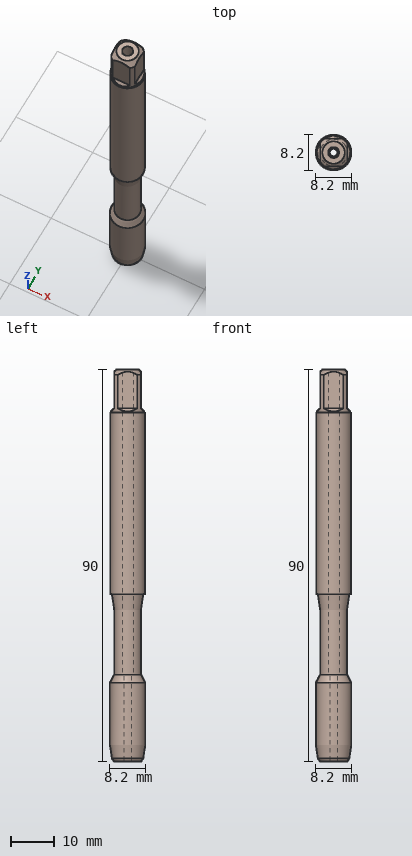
import cadquery as cq

total_length = 90.0
tip_chamfer_top = 0.8
lead_top = 3.8
cutter_shoulder = 18.1
cutter_collar = 19.4
cutter_top = 20.0
neck_flare_bottom = 34.8
shank_bottom = 38.4
shank_top = 80.0
flats_bottom = 81.1

tip_diameter = 6.2
lead_diameter = 7.3
cutter_diameter = 8.2
collar_diameter = 6.8
neck_diameter = 6.2
flare_diameter = 7.3
shank_diameter = 8.0
square_corner_diameter = 7.65
end_face_diameter = 5.1
shank_bore = 2.5
cutter_bore = 1.7

square_width = 6.2


def revolved(profile):
    """Turn (diameter, height) pairs about Z, closing the outline along the axis."""
    outline = [(diameter / 2, height) for diameter, height in profile]
    first_height = profile[0][1]
    last_height = profile[-1][1]
    points = [(0, first_height)] + outline + [(0, last_height)]
    return cq.Workplane("XZ").polyline(points).close().revolve(360, (0, 0), (0, 1))


def bored(body, diameter):
    """Cut a round bore along the whole length of the tool axis."""
    return body.cut(cq.Workplane("XY").circle(diameter / 2).extrude(total_length))


def flat_cutter():
    """Wedge that cuts one flat on the +X side and its 45 degree runout."""
    flat = square_width / 2
    runout = shank_diameter - square_width
    outline = [
        (flat, flats_bottom),
        (flat, total_length),
        (flat + runout, total_length),
        (flat + runout, flats_bottom - runout),
    ]
    return cq.Workplane("XZ").polyline(outline).close().extrude(shank_diameter / 2, both=True)


def make_shank():
    """Neck, plain shank and square drive end."""
    corner_chamfer = (square_corner_diameter - end_face_diameter) / 2
    shank_chamfer = (shank_diameter - square_corner_diameter) / 2
    body = revolved([
        (neck_diameter, cutter_top),
        (neck_diameter, neck_flare_bottom),
        (flare_diameter, shank_bottom),
        (shank_diameter, shank_bottom),
        (shank_diameter, shank_top),
        (square_corner_diameter, shank_top + shank_chamfer),
        (square_corner_diameter, total_length - corner_chamfer),
        (end_face_diameter, total_length),
    ])
    for angle in range(0, 360, 90):
        body = body.cut(flat_cutter().rotate((0, 0, 0), (0, 0, 1), angle))
    return bored(body, shank_bore)


def make_cutter():
    """Working end with a tapered lead and a chamfered tip."""
    body = revolved([
        (tip_diameter, 0),
        (lead_diameter, tip_chamfer_top),
        (cutter_diameter, lead_top),
        (cutter_diameter, cutter_shoulder),
        (collar_diameter, cutter_collar),
        (neck_diameter, cutter_top),
    ])
    return bored(body, cutter_bore)


shank = make_shank()
cutter = make_cutter()

result = cq.Compound.makeCompound([shank.val(), cutter.val()])